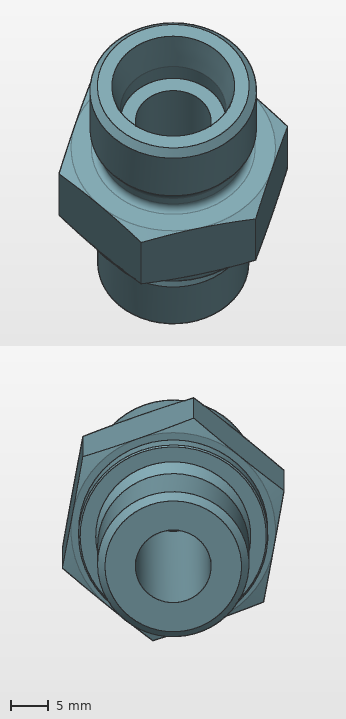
import cadquery as cq
import math

total_length = 41
hex_top = 27.0
hex_bottom = 16.52
collar_bottom = 14.0

across_flats = 27.0
across_corners = across_flats / math.cos(math.radians(30))
hex_chamfer_angle = 15
collar_diameter = 25
collar_chamfer = 0.2

upper_diameter = 22.0
upper_stud_bottom = 31.5
neck_diameter = 19.7
neck_fillet = 1.0
neck_blend = 0.75

lower_diameter = 20.0
lower_stud_top = 9.35
undercut_top_diameter = 20.5
undercut_root_diameter = 17.3
undercut_fillet = 1.05

stud_chamfer = 1.0
runout_slope = math.tan(math.radians(30))

bore_diameter = 10.0
seat_diameter = 14.0
seat_depth = 8.0
cone_mouth_diameter = 16.25
cone_half_angle = 12

selection_tolerance = 0.05
envelope_margin = 0.4


def revolve_profile(points):
    """Turn an (r, z) outline about the Z axis."""
    return cq.Workplane("XZ").polyline(points).close().revolve(360, (0, 0, 0), (0, 1, 0))


def edges_at_height(height):
    """Select the edges whose centers lie at one height."""
    reach = across_corners
    low = height - selection_tolerance
    high = height + selection_tolerance
    return cq.selectors.BoxSelector((-reach, -reach, low), (reach, reach, high))


def make_hexagon():
    height = hex_top - hex_bottom
    prism = (
        cq.Workplane("XY")
        .workplane(offset=hex_bottom)
        .polygon(6, across_corners)
        .extrude(height)
        .rotate((0, 0, 0), (0, 0, 1), 30)
    )
    flat_radius = across_flats / 2
    outer_radius = across_corners / 2 + envelope_margin
    drop = (outer_radius - flat_radius) * math.tan(math.radians(hex_chamfer_angle))
    envelope = revolve_profile([
        (0, hex_bottom),
        (flat_radius, hex_bottom),
        (outer_radius, hex_bottom + drop),
        (outer_radius, hex_top - drop),
        (flat_radius, hex_top),
        (0, hex_top),
    ])
    return prism.intersect(envelope)


def make_upper_stud():
    radius = upper_diameter / 2
    neck_radius = neck_diameter / 2
    neck_top = upper_stud_bottom - (radius - neck_radius) / runout_slope
    stud = revolve_profile([
        (0, hex_top),
        (neck_radius, hex_top),
        (neck_radius, neck_top),
        (radius, upper_stud_bottom),
        (radius, total_length - stud_chamfer),
        (radius - stud_chamfer, total_length),
        (0, total_length),
    ])
    return stud.edges(edges_at_height(neck_top)).fillet(neck_blend)


def make_lower_stud():
    radius = lower_diameter / 2
    root_radius = undercut_root_diameter / 2
    root_height = lower_stud_top + (radius - root_radius) / runout_slope
    stud = revolve_profile([
        (0, 0),
        (radius - stud_chamfer, 0),
        (radius, stud_chamfer),
        (radius, lower_stud_top),
        (root_radius, root_height),
        (undercut_top_diameter / 2, collar_bottom),
        (0, collar_bottom),
    ])
    return stud.edges(edges_at_height(root_height)).fillet(undercut_fillet)


def make_collar():
    height = hex_bottom - collar_bottom
    disc = cq.Workplane("XY").workplane(offset=collar_bottom).circle(collar_diameter / 2).extrude(height)
    return disc.faces("<Z").edges().chamfer(collar_chamfer)


def make_bore():
    bore_radius = bore_diameter / 2
    seat_radius = seat_diameter / 2
    mouth_radius = cone_mouth_diameter / 2
    cone_depth = (mouth_radius - seat_radius) / math.tan(math.radians(cone_half_angle))
    seat_height = total_length - seat_depth
    return revolve_profile([
        (0, 0),
        (bore_radius, 0),
        (bore_radius, seat_height),
        (seat_radius, seat_height),
        (seat_radius, total_length - cone_depth),
        (mouth_radius, total_length),
        (0, total_length),
    ])


def make_neck_fillet():
    """Concave flare where the neck meets the top of the hexagon."""
    inner = neck_diameter / 2
    middle = neck_fillet * (1 - math.sqrt(0.5))
    return (
        cq.Workplane("XZ")
        .moveTo(0, hex_top)
        .lineTo(inner + neck_fillet, hex_top)
        .threePointArc((inner + middle, hex_top + middle), (inner, hex_top + neck_fillet))
        .lineTo(0, hex_top + neck_fillet)
        .close()
        .revolve(360, (0, 0, 0), (0, 1, 0))
    )


body = make_hexagon().union(make_collar()).union(make_lower_stud())
body = body.union(make_upper_stud()).union(make_neck_fillet())
result = body.cut(make_bore())